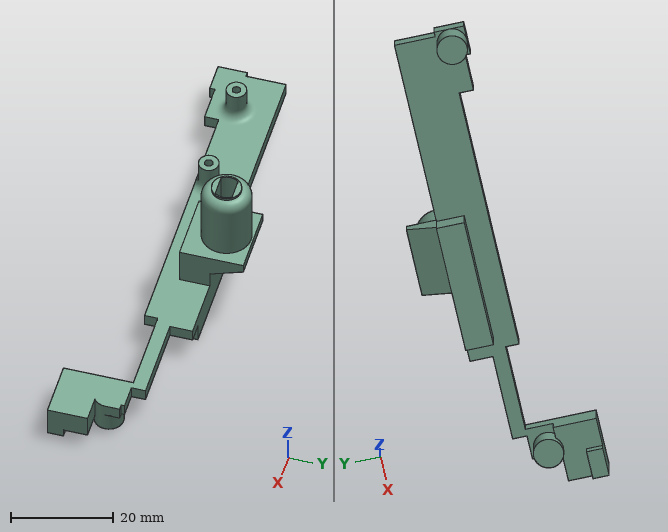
import cadquery as cq

plate_bottom = 4.0
plate_top = 6.6
platform_bottom = 12.7
platform_top = 14.6
overall_height = 28.3

plate_left = 1.0
plate_right_back = 68.4
plate_right_front = 66.9
plate_front = 11.5
plate_back = 21.7
tab_right = 13.4
tab_front = 8.6

peg_diameter = 6.0
peg_radius = peg_diameter / 2
peg_y = 10.6
left_peg_x = peg_radius
right_peg_x = 89.0

post_diameter = 4.0
post_hole_diameter = 1.6
post_top = 12.7
post_fillet = 2.0
post_y = 14.2
first_post_x = 10.2
post_spacing = 20.0

platform_width = 14.0
platform_front = 15.6
platform_back = 28.5
gusset_bottom = 10.1
button_x = 49.0
button_y = 23.1
button_diameter = 10.0
button_round = 2.0
cap_height = 0.5
cap_diameter = 6.0
socket_diameter = 5.4
socket_width = 3.5

rail_left = 38.5
rail_right = 64.5
rail_front = 16.1

arm_front = 14.2
arm_back = 17.1
arm_right = 85.9
end_left = 84.5
end_flat_right = 90.8

block_split = 90.2
block_right = 96.0
block_back_left = 8.6
block_back_right = 8.2
block_bottom = 1.7
foot_back = 3.3


def box(x_range, y_range, z_range):
    """Axis-aligned box between the given limits."""
    sizes = [high - low for low, high in (x_range, y_range, z_range)]
    corner = (x_range[0], y_range[0], z_range[0])
    return cq.Workplane("XY").box(*sizes, centered=False).translate(corner)


def cylinder(x, y, diameter, z_range):
    """Upright cylinder centred on (x, y)."""
    low, high = z_range
    return cq.Workplane("XY", origin=(x, y, low)).circle(diameter / 2).extrude(high - low)


def make_plate():
    """Main plate with the front tab and the left peg's square pad."""
    levels = (plate_bottom, plate_top)
    outline = [
        (plate_left, tab_front),
        (tab_right, tab_front),
        (tab_right, plate_front),
        (plate_right_front, plate_front),
        (plate_right_front, arm_front),
        (plate_right_back, arm_front),
        (plate_right_back, plate_back),
        (plate_left, plate_back),
    ]
    plate = cq.Workplane("XY", origin=(0, 0, plate_bottom)).polyline(outline).close()
    plate = plate.extrude(plate_top - plate_bottom)
    pad = box((0, peg_diameter), (peg_y - peg_radius, peg_y + peg_radius), levels)
    return plate.union(pad)


def add_posts(body):
    """Posts blended into the plate, each with a blind hole down to the plate."""
    post_levels = (plate_top, post_top)
    post_xs = [first_post_x, first_post_x + post_spacing]
    for x in post_xs:
        body = body.union(cylinder(x, post_y, post_diameter, post_levels))
        root = cq.selectors.NearestToPointSelector((x, post_y, plate_top))
        body = body.edges(root).fillet(post_fillet)
    for x in post_xs:
        body = body.cut(cylinder(x, post_y, post_hole_diameter, post_levels))
    return body


def make_platform():
    """Raised block whose top overhangs the plate on a sloped gusset."""
    profile = [
        (platform_front, plate_top),
        (plate_back, plate_top),
        (plate_back, gusset_bottom),
        (platform_back, platform_bottom),
        (platform_back, platform_top),
        (platform_front, platform_top),
    ]
    left = button_x - platform_width / 2
    return cq.Workplane("YZ", origin=(left, 0, 0)).polyline(profile).close().extrude(platform_width)


def make_button():
    """Rounded cylinder with a small cap and a flat-sided socket."""
    shoulder = overall_height - cap_height
    barrel = cylinder(button_x, button_y, button_diameter, (platform_top, shoulder))
    barrel = barrel.faces(">Z").edges().fillet(button_round)
    cap = cylinder(button_x, button_y, cap_diameter, (shoulder, overall_height))
    socket_levels = (platform_top, overall_height)
    socket = cylinder(button_x, button_y, socket_diameter, socket_levels).intersect(
        box(
            (button_x - socket_diameter, button_x + socket_diameter),
            (button_y - socket_width / 2, button_y + socket_width / 2),
            socket_levels,
        )
    )
    return barrel.union(cap).cut(socket)


def make_arm():
    """Narrow arm, end plate and the right peg's pad with one round corner."""
    levels = (plate_bottom, plate_top)
    arm = box((plate_right_front, arm_right), (arm_front, arm_back), levels)
    end_plate = box((end_left, end_flat_right), (peg_y, arm_front), levels)
    inner_pad = box((end_left, right_peg_x), (peg_y - peg_radius, peg_y), levels)
    outer_pad = box((right_peg_x, right_peg_x + peg_radius), (peg_y, peg_y + peg_radius), levels)
    round_corner = cylinder(right_peg_x, peg_y, peg_diameter, levels)
    return arm.union(end_plate).union(inner_pad).union(outer_pad).union(round_corner)


def make_end_block():
    """Stepped block at the right end with a low foot along its front."""
    levels = (block_bottom, plate_top)
    left = box((end_left, block_split), (0, block_back_left), levels)
    right = box((block_split, block_right), (0, block_back_right), levels)
    foot = box((block_split, block_right), (0, foot_back), (0, block_bottom))
    return left.union(right).union(foot)


body = add_posts(make_plate())
for peg_x in (left_peg_x, right_peg_x):
    body = body.union(cylinder(peg_x, peg_y, peg_diameter, (0, plate_bottom)))
rail = box((rail_left, rail_right), (rail_front, plate_back), (0, plate_bottom))
for piece in (rail, make_platform(), make_button(), make_arm(), make_end_block()):
    body = body.union(piece)

result = body